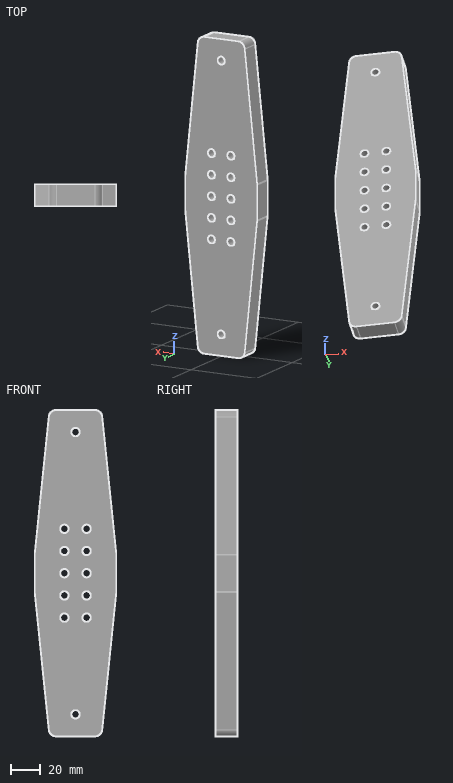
import cadquery as cq

length = 219.0
width = 55.0
thickness = 15.0
end_width = 35.0
waist_length = 25.0
corner_radius = 5.0

hole_diameter = 5.5
hole_pitch = 15.0
grid_columns = 2
grid_rows = 5
end_hole_inset = 15.0


def plate():
    """Tapered plate with rounded corners, centred on the origin."""
    outline = [
        (-end_width / 2, -length / 2),
        (end_width / 2, -length / 2),
        (width / 2, -waist_length / 2),
        (width / 2, waist_length / 2),
        (end_width / 2, length / 2),
        (-end_width / 2, length / 2),
        (-width / 2, waist_length / 2),
        (-width / 2, -waist_length / 2),
    ]
    body = cq.Workplane("XZ").polyline(outline).close().extrude(thickness / 2, both=True)
    return body.edges("|Y").fillet(corner_radius)


def holes():
    """Cutters for the central hole grid and the two end holes."""
    end_hole_spacing = length - 2 * end_hole_inset
    grid = (
        cq.Workplane("XZ")
        .rarray(hole_pitch, hole_pitch, grid_columns, grid_rows)
        .circle(hole_diameter / 2)
        .extrude(thickness, both=True)
    )
    ends = (
        cq.Workplane("XZ")
        .rarray(2.2, end_hole_spacing, 1, 2)
        .circle(hole_diameter / 2)
        .extrude(thickness, both=True)
    )
    return grid.add(ends).combine()


result = plate().cut(holes())